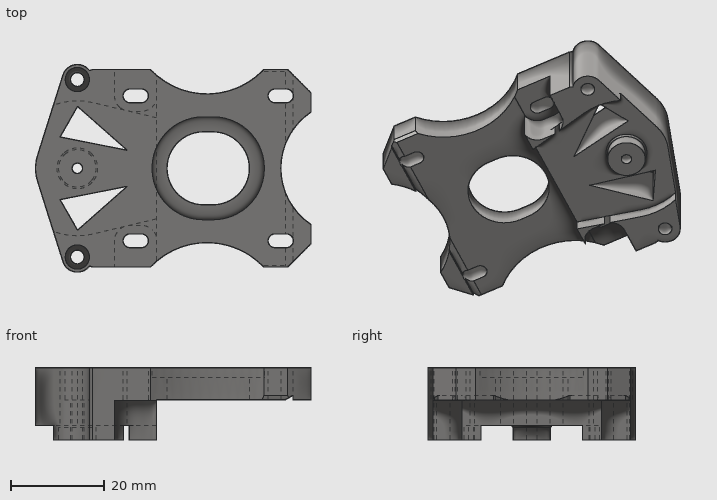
import cadquery as cq
import math

HEIGHT = 15.5
PLATE_THICKNESS = 6.9
PLATE_BOTTOM = HEIGHT - PLATE_THICKNESS

RIGHT_EDGE = 22.0
HALF_WIDTH = 21.2
CORNER_CUT = 5.0
SIDE_SCALLOP_X = -0.25
SIDE_SCALLOP_RADIUS = 16.7
SIDE_SCALLOP_FLOOR = 15.95
END_SCALLOP_RADIUS = 14.45
END_SCALLOP_FLOOR = 15.6

IDLER_X = -28.0
NOSE_RADIUS = 8.95
BOSS_Y = 19.0
BOSS_RADIUS = 3.25
SHOULDER_START_X = -25.4
SHOULDER_END_X = -24.7
BLOCK_RIGHT = -11.05

MOTOR_TRAVEL = 2.0
BORE_DIAMETER = 15.6
COUNTERBORE_DIAMETER = 22.05
COUNTERBORE_DEPTH = 2.1

SCREW_PITCH = 31.05
SCREW_TRAVEL = 2.5
SLOT_WIDTH = 2.9
HEAD_CLEARANCE_WIDTH = 6.6
HEAD_SEAT_THICKNESS = 7.0

FRAME_SCREW_DIAMETER = 2.9
FRAME_HEAD_DIAMETER = 5.2
FRAME_HEAD_DEPTH = PLATE_THICKNESS

RECESS_DEPTH = 3.05
RECESS_IDLER_RADIUS = 14.45
RECESS_MOTOR_RADIUS = 7.95
PIN_DIAMETER = 8.0
PIN_FLARE = 0.35
PIN_HOLE_DIAMETER = 2.2

WINDOW_CORNERS = [(-27.95, 13.2), (-31.7, 6.7), (-17.4, 3.9)]

EDGE_RELIEF_HEIGHT = 0.95
EDGE_RELIEF_INSET = 0.4
GROOVE_WIDTH = 1.6
GROOVE_RIGHT = 18.1

SIDES = (-1, 1)


def prism(sketch, bottom, top):
    """Extrude a closed outline drawn on the XY plane between two heights."""
    return sketch.extrude(top - bottom).translate((0, 0, bottom))


def cylinder(x, y, diameter, bottom, top):
    return prism(cq.Workplane().center(x, y).circle(diameter / 2), bottom, top)


def slot(x, y, travel, width, bottom, top):
    """Stadium prism whose end centres lie `travel` apart along X."""
    return prism(cq.Workplane().center(x, y).slot2D(travel + width, width), bottom, top)


def outline():
    """Outer outline: rounded nose, two boss corners with small shoulders, cut plate corners."""
    lean = math.asin((NOSE_RADIUS - BOSS_RADIUS) / BOSS_Y)
    flank_x, flank_y = -math.cos(lean), math.sin(lean)
    nose_tangent = (IDLER_X + NOSE_RADIUS * flank_x, NOSE_RADIUS * flank_y)
    boss_tangent = (IDLER_X + BOSS_RADIUS * flank_x, BOSS_Y + BOSS_RADIUS * flank_y)
    shoulder_y = BOSS_Y + math.sqrt(BOSS_RADIUS**2 - (SHOULDER_START_X - IDLER_X) ** 2)
    return (
        cq.Workplane()
        .moveTo(nose_tangent[0], -nose_tangent[1])
        .threePointArc((IDLER_X - NOSE_RADIUS, 0), nose_tangent)
        .lineTo(*boss_tangent)
        .threePointArc((IDLER_X, BOSS_Y + BOSS_RADIUS), (SHOULDER_START_X, shoulder_y))
        .lineTo(SHOULDER_END_X, HALF_WIDTH)
        .lineTo(RIGHT_EDGE - CORNER_CUT, HALF_WIDTH)
        .lineTo(RIGHT_EDGE, HALF_WIDTH - CORNER_CUT)
        .lineTo(RIGHT_EDGE, CORNER_CUT - HALF_WIDTH)
        .lineTo(RIGHT_EDGE - CORNER_CUT, -HALF_WIDTH)
        .lineTo(SHOULDER_END_X, -HALF_WIDTH)
        .lineTo(SHOULDER_START_X, -shoulder_y)
        .threePointArc((IDLER_X, -BOSS_Y - BOSS_RADIUS), (boss_tangent[0], -boss_tangent[1]))
        .close()
    )


def body():
    """Full-height block at the left, thinner plate to its right, with scalloped edges."""
    solid = prism(outline(), 0, HEIGHT)
    under_plate = cq.Workplane().box(
        RIGHT_EDGE - BLOCK_RIGHT, 2 * HALF_WIDTH, PLATE_BOTTOM, centered=(False, True, False)
    )
    solid = solid.cut(under_plate.translate((BLOCK_RIGHT, 0, 0)))
    for side in SIDES:
        scallop_y = side * (SIDE_SCALLOP_FLOOR + SIDE_SCALLOP_RADIUS)
        solid = solid.cut(cylinder(SIDE_SCALLOP_X, scallop_y, 2 * SIDE_SCALLOP_RADIUS, 0, HEIGHT))
    end_scallop_x = END_SCALLOP_FLOOR + END_SCALLOP_RADIUS
    return solid.cut(cylinder(end_scallop_x, 0, 2 * END_SCALLOP_RADIUS, 0, HEIGHT))


def belt_recess():
    """Belt-shaped pocket around idler and motor axes, less the flared idler pin."""
    motor_radius = RECESS_MOTOR_RADIUS
    lean = math.asin((RECESS_IDLER_RADIUS - motor_radius) / -IDLER_X)
    tangent_x, tangent_y = math.sin(lean), math.cos(lean)
    idler_tangent = (
        IDLER_X + RECESS_IDLER_RADIUS * tangent_x,
        RECESS_IDLER_RADIUS * tangent_y,
    )
    motor_tangent = (motor_radius * tangent_x, motor_radius * tangent_y)
    belt = (
        cq.Workplane()
        .moveTo(idler_tangent[0], -idler_tangent[1])
        .threePointArc((IDLER_X - RECESS_IDLER_RADIUS, 0), idler_tangent)
        .lineTo(*motor_tangent)
        .threePointArc((motor_radius, 0), (motor_tangent[0], -motor_tangent[1]))
        .close()
    )
    pin = cylinder(IDLER_X, 0, PIN_DIAMETER, 0, RECESS_DEPTH)
    pin_radius = PIN_DIAMETER / 2
    flare = cq.Solid.makeCone(
        pin_radius, pin_radius + PIN_FLARE, PIN_FLARE, pnt=cq.Vector(IDLER_X, 0, RECESS_DEPTH - PIN_FLARE)
    )
    return prism(belt, 0, RECESS_DEPTH).cut(pin).cut(flare)


def motor_mount_cuts():
    """Stretched bore with counterbore, and the four screw slots."""
    cuts = slot(0, 0, MOTOR_TRAVEL, BORE_DIAMETER, 0, HEIGHT)
    cuts = cuts.union(
        slot(0, 0, MOTOR_TRAVEL, COUNTERBORE_DIAMETER, HEIGHT - COUNTERBORE_DEPTH, HEIGHT)
    )
    for x_side in SIDES:
        for y_side in SIDES:
            x = x_side * SCREW_PITCH / 2
            y = y_side * SCREW_PITCH / 2
            cuts = cuts.union(slot(x, y, SCREW_TRAVEL, SLOT_WIDTH, 0, HEIGHT))
    return cuts


def screw_head_clearance(side):
    """Pocket below a left-hand slot, open through the side wall of the block."""
    x = -SCREW_PITCH / 2
    y = side * SCREW_PITCH / 2
    seat_z = HEIGHT - HEAD_SEAT_THICKNESS
    length = SCREW_TRAVEL + HEAD_CLEARANCE_WIDTH
    opening = cq.Workplane().center(x, y + side * HALF_WIDTH / 2).rect(length, HALF_WIDTH)
    pocket = slot(x, y, SCREW_TRAVEL, HEAD_CLEARANCE_WIDTH, 0, seat_z)
    return pocket.union(prism(opening, 0, seat_z))


def frame_screw(side):
    y = side * BOSS_Y
    head = cylinder(IDLER_X, y, FRAME_HEAD_DIAMETER, HEIGHT - FRAME_HEAD_DEPTH, HEIGHT)
    return cylinder(IDLER_X, y, FRAME_SCREW_DIAMETER, 0, HEIGHT).union(head)


def window(side):
    corners = [(x, side * y) for x, y in WINDOW_CORNERS]
    return prism(cq.Workplane().polyline(corners).close(), 0, HEIGHT)


def edge_relief(side):
    """Bevel on the lower side edge of a right-hand arm, ending at the cross groove."""
    edge_y = side * HALF_WIDTH
    relief_top = PLATE_BOTTOM + EDGE_RELIEF_HEIGHT
    section = [
        (edge_y, PLATE_BOTTOM),
        (edge_y, relief_top),
        (edge_y - side * EDGE_RELIEF_INSET, PLATE_BOTTOM),
    ]
    return cq.Workplane("YZ").polyline(section).close().extrude(GROOVE_RIGHT)


def cross_groove():
    """Groove under both right-hand arms: sloping on the left, upright on the right."""
    section = [
        (GROOVE_RIGHT - GROOVE_WIDTH, PLATE_BOTTOM),
        (GROOVE_RIGHT, PLATE_BOTTOM),
        (GROOVE_RIGHT, PLATE_BOTTOM + EDGE_RELIEF_HEIGHT),
    ]
    return cq.Workplane("XZ").polyline(section).close().extrude(HALF_WIDTH, both=True)


result = body().cut(belt_recess()).cut(motor_mount_cuts()).cut(cross_groove())
for side in SIDES:
    for cutter in (screw_head_clearance, frame_screw, window, edge_relief):
        result = result.cut(cutter(side))
result = result.cut(cylinder(IDLER_X, 0, PIN_HOLE_DIAMETER, 0, HEIGHT))